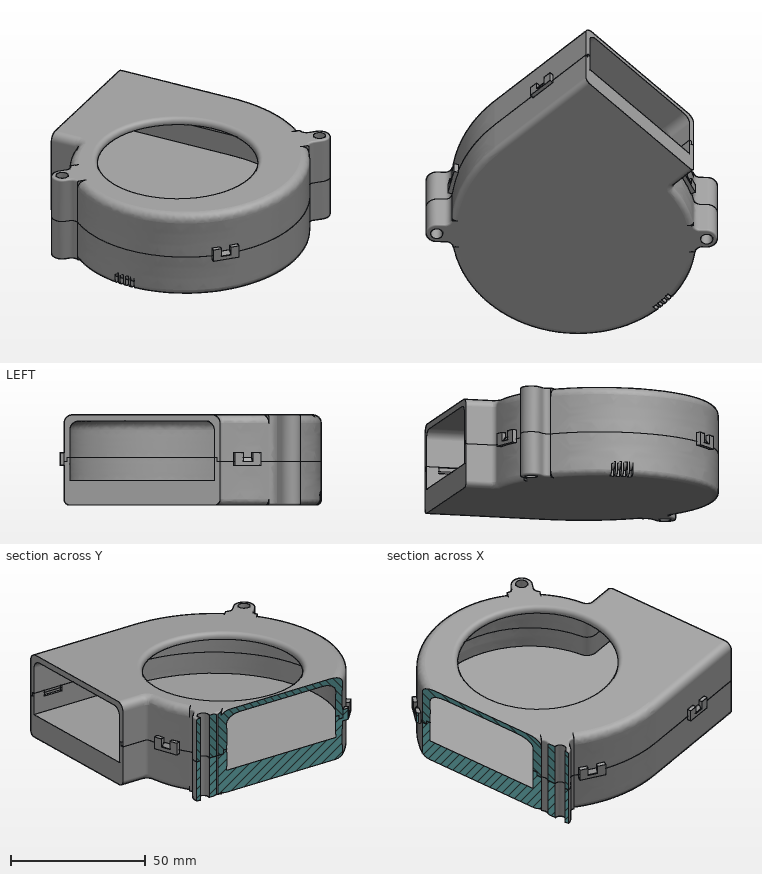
import cadquery as cq
import math

case_height = 33.6
wall = 2.2
outlet_x = -50.0
outlet_bottom_y = -5.6
corner_radius = 1.9
top_round = 3.2
bottom_round = 2.2

spiral_radius = 47.7
spiral_growth = 2.9
spiral_points = 24

floor_z = 9.1
roof_thickness = 2.3
roof_z = case_height - roof_thickness
channel_round = 3.4
inlet_radius = 29.8
inlet_round = 2.0

parting_z = 16.2
lap_height = 1.5
lip_inset = wall / 2

lug_centers = [(38.9, 39.5), (-32.0, -31.5)]
lug_radius = 4.0
lug_hole_radius = 2.25
lug_round = 0.7
lug_blend = 2.5
lug_reach = 9.8
lug_angle = 45.0
root_share = 0.8

scroll_clip_angles = [60.0, -40.0, -157.0]
outlet_clip_x = -27.9
clip_width = 10.2
clip_depth = 1.5
clip_bottom_z = 14.8
clip_top_z = 19.6
notch_width = 3.7
hook_depth = 1.1
hook_top_z = 17.7

recess_x = -41.1
recess_length = 8.2
recess_height = 2.3

slot_count = 4
slot_pitch = 2.25
slot_width = 1.4
slot_top_z = 5.1
slot_depth = 2.7

overrun = 4.9


def spiral_point(angle, inset=0.0):
    radius = spiral_radius - inset + spiral_growth * angle
    return (radius * math.cos(angle), radius * math.sin(angle))


top_angle = math.pi / 2 + math.atan(spiral_growth / spiral_radius)
top_wall_y = spiral_point(top_angle)[1]


def meeting_angle(y, inset):
    """Angle at which the spiral reaches height y on the left side."""
    angle = -math.pi
    for _ in range(6):
        angle = -math.pi - math.asin(y / (spiral_radius - inset + spiral_growth * angle))
    return angle


def scroll_block(inset, bottom_z, top_z, end_x):
    """Prism of the scroll and its straight outlet, drawn in from the outer wall by inset."""
    bottom_y = outlet_bottom_y + inset
    end_angle = meeting_angle(bottom_y, inset)
    step = (end_angle - top_angle) / spiral_points
    curve = [spiral_point(top_angle + i * step, inset) for i in range(spiral_points + 1)]
    block = (
        cq.Workplane("XY", origin=(0, 0, bottom_z))
        .moveTo(end_x, curve[0][1])
        .lineTo(*curve[0])
        .spline(curve[1:], includeCurrent=True)
        .lineTo(end_x, bottom_y)
        .close()
        .extrude(top_z - bottom_z)
    )
    corner = cq.selectors.NearestToPointSelector((*curve[-1], (bottom_z + top_z) / 2))
    return block.edges("|Z").edges(corner).fillet(corner_radius + inset)


def rim(block, face):
    """Edges around one end face, without the straight edge at the outlet mouth."""
    return block.faces(face).edges("not(<X)")


def lug_frame(center):
    """Workplane on a lug's axis whose X axis points away from the scroll."""
    angle = lug_angle if center[0] > 0 else lug_angle + 180
    return cq.Workplane("XY").center(*center).transformed(rotate=(0, 0, angle))


def plain_lug(center):
    """Square-edged lug from inside the scroll out to its round end."""
    return (
        lug_frame(center)
        .moveTo(-lug_reach, -lug_radius)
        .lineTo(0, -lug_radius)
        .threePointArc((lug_radius, 0), (0, lug_radius))
        .lineTo(-lug_reach, lug_radius)
        .close()
        .extrude(case_height)
    )


def is_lug_root(edge):
    """True for the upright edges where a lug meets the scroll wall."""
    point = edge.Center()
    distance = min(math.hypot(point.x - x, point.y - y) for x, y in lug_centers)
    is_upright = edge.BoundingBox().zlen > case_height / 2
    return is_upright and 1.2 * lug_radius < distance < lug_reach


def blended_lugs():
    """Both lugs with their flared roots, rounded along the upper and lower outline."""
    prism = scroll_block(0, 0, case_height, outlet_x)
    for center in lug_centers:
        prism = prism.union(plain_lug(center))
    roots = [edge for edge in prism.edges().vals() if is_lug_root(edge)]
    prism = prism.newObject(roots).fillet(lug_blend)
    prism = rim(prism, ">Z").fillet(lug_round)
    prism = rim(prism, "<Z").fillet(lug_round)

    lugs = []
    zone_length = lug_reach + 2 * lug_radius
    zone_width = 2 * (lug_radius + root_share * lug_blend)
    for center in lug_centers:
        zone = lug_frame(center).center(zone_length / 2 - lug_reach, 0)
        lugs.append(prism.intersect(zone.rect(zone_length, zone_width).extrude(case_height)))
    return lugs


def case_envelope():
    """Solid outer shape of the whole closed case."""
    body = scroll_block(0, 0, case_height, outlet_x)
    body = rim(body, ">Z").fillet(top_round)
    body = rim(body, "<Z").fillet(bottom_round)
    for lug in blended_lugs():
        body = body.union(lug)
    holes = cq.Workplane("XY").pushPoints(lug_centers).circle(lug_hole_radius).extrude(case_height)
    return body.cut(holes)


def air_channel():
    channel = scroll_block(wall, floor_z, roof_z, outlet_x - overrun)
    return rim(channel, ">Z").fillet(channel_round)


def lap_block():
    """Space inside the joint: the base fills its edge and the cover leaves it free."""
    return scroll_block(lip_inset, parting_z, parting_z + lap_height, outlet_x)


def half_space(bottom_z, top_z):
    side = 4 * spiral_radius
    return cq.Workplane("XY", origin=(0, 0, bottom_z)).rect(side, side).extrude(top_z - bottom_z)


def at_clips(shape):
    """Copies of a shape made at the origin facing +X, one on the outer wall at each clip."""
    copies = [shape.rotate((0, 0, 0), (0, 0, 1), 90).translate((outlet_clip_x, top_wall_y, 0))]
    for degrees in scroll_clip_angles:
        angle = math.radians(degrees)
        x, y = spiral_point(angle)
        lag = math.degrees(math.atan(spiral_growth / math.hypot(x, y)))
        copies.append(shape.rotate((0, 0, 0), (0, 0, 1), degrees - lag).translate((x, y, 0)))
    return copies


def upright_box(start, end, width, bottom_z, top_z):
    """Box between two distances from the outer wall, measured outward."""
    size = (end - start, width, top_z - bottom_z)
    return cq.Workplane("XY").box(*size, centered=(False, True, False)).translate((start, 0, bottom_z))


def clip_bracket():
    """U-shaped catch on the base, open at the top."""
    plate = upright_box(-lip_inset, clip_depth, clip_width, clip_bottom_z, clip_top_z)
    notch = upright_box(-lip_inset, clip_depth, notch_width, parting_z, clip_top_z)
    return plate.cut(notch)


def clip_hook():
    """Wedge on the cover that snaps into a bracket."""
    root = -lip_inset / 2
    return (
        cq.Workplane("XZ")
        .moveTo(root, parting_z)
        .lineTo(hook_depth, parting_z)
        .lineTo(0, hook_top_z)
        .lineTo(root, hook_top_z)
        .close()
        .extrude(notch_width / 2, both=True)
    )


def rim_recess():
    """Pocket in the inner half of the outlet wall, open at the top of the base."""
    recess_top = parting_z + lap_height
    return (
        cq.Workplane("XY")
        .box(recess_length, 2 * wall, recess_height, centered=(True, False, False))
        .translate((recess_x, top_wall_y - lip_inset - 2 * wall, recess_top - recess_height))
    )


def cable_slot(x):
    """Slot up from the underside whose ceiling curves out to meet the scroll wall."""
    wall_y = spiral_point(math.asin(x / spiral_radius) - math.pi / 2)[1]
    back_y = wall_y + slot_depth
    bend = slot_depth * math.sqrt(0.5)
    return (
        cq.Workplane("YZ", origin=(x - slot_width / 2, 0, 0))
        .moveTo(back_y, 0)
        .lineTo(back_y, slot_top_z - slot_depth)
        .threePointArc((back_y - bend, slot_top_z - bend), (wall_y, slot_top_z))
        .lineTo(wall_y - overrun, slot_top_z)
        .lineTo(wall_y - overrun, 0)
        .close()
        .extrude(slot_width)
    )


def make_base(envelope):
    base = envelope.intersect(half_space(0, parting_z)).union(lap_block()).cut(air_channel())
    base = base.cut(rim_recess())

    outside = scroll_block(0, 0, case_height, outlet_x)
    for bracket in at_clips(clip_bracket()):
        base = base.union(bracket.cut(outside))
    for i in range(slot_count):
        base = base.cut(cable_slot((i - (slot_count - 1) / 2) * slot_pitch))
    return base


def make_cover(envelope):
    cover = envelope.intersect(half_space(parting_z, case_height)).cut(lap_block()).cut(air_channel())
    inlet = cq.Workplane("XY", origin=(0, 0, parting_z)).circle(inlet_radius).extrude(case_height)
    cover = cover.cut(inlet)
    inlet_edge = cq.selectors.RadiusNthSelector(-1)
    cover = cover.faces(">Z").edges("%CIRCLE").edges(inlet_edge).fillet(inlet_round)
    for hook in at_clips(clip_hook()):
        cover = cover.union(hook)
    return cover


envelope = case_envelope()
base = make_base(envelope)
cover = make_cover(envelope)

result = cq.Compound.makeCompound([base.val(), cover.val()])